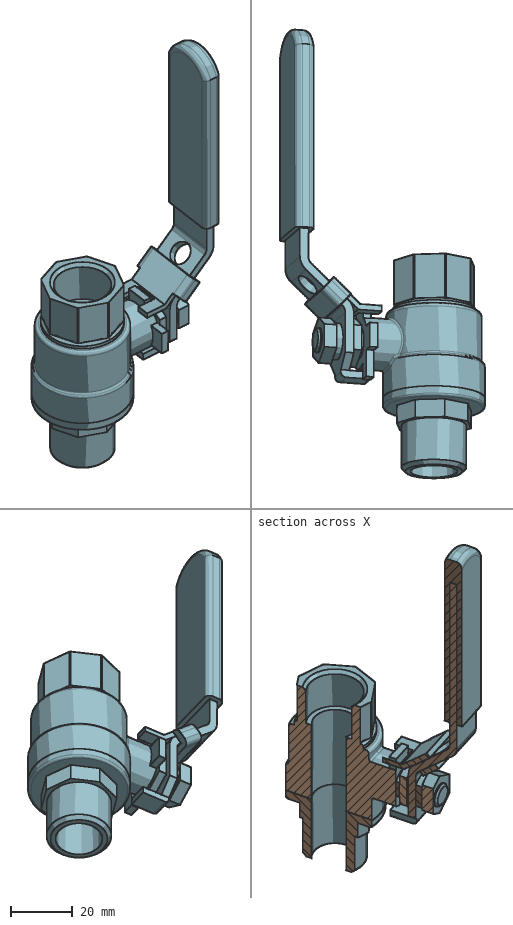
import cadquery as cq
import math

BORE_DIA = 15.0
STEM_Z = 40.9
STEM_DIA = 8.0

MALE_DIA = 21.0
MALE_CHAMFER = 1.3
MALE_TOP = 15.2
LOWER_OCTAGON_DIA = 25.0
OCTAGON_SIDES = 8
FLANGE_BOTTOM = 21.1
FLANGE_TOP = 24.3
FLANGE_FILLET = 0.9

LARGE_DIA = 33.0
STEP_BOTTOM = 34.7
STEP_TOP = 36.3
MAIN_DIA = 31.0
MAIN_TOP = 52.5
MAIN_FILLET = 1.3
COLLAR_DIA = 27.0
COLLAR_TOP = 53.7
UPPER_OCTAGON_BOTTOM = 54.7
UPPER_OCTAGON_FLATS = 25.0
UPPER_OCTAGON_CORNERS = 26.8
HOUSING_TOP = 69.3
THREAD_DIA = 18.7
THREAD_DEPTH = 14.4
THREAD_MOUTH_DIA = 21.0
MOUTH_SLOPE = 45.0

NECK_DIA = 17.0
NECK_FILLET = 0.7
NECK_END = 25.0
STOP_THICKNESS = 2.6
STOP_ARM_WIDTH = 8.0
LEFT_ARM_REACH = 11.8
RIGHT_ARM_REACH = 13.0
TONGUE_REACH = 12.0
LUG_REACH = 12.9
LUG_OUTER_X = 7.6

STEM_SOCKET_DEPTH = 7.2
STEM_TIP = 39.9
STEM_TIP_CHAMFER = 0.7
SHOULDER_DIA = 10.0
GLAND_NUT_START = 26.3
GLAND_NUT_END = 29.0
GLAND_NUT_DIA = 16.4
WASHER_DIA = 11.9
TOP_NUT_START = 34.6
TOP_NUT_END = 38.7
TOP_NUT_DIA = 15.2
NUT_SIDES = 6

LEVER_WIDTH = 17.0
LEVER_THICKNESS = 2.9
LEVER_TOP = 133.5
LEVER_BEND_RADIUS = 4.3
LEVER_ANGLE = 42.0
UPPER_Y = 46.0
LOWER_Y = 30.9
UPPER_BEND_Z = 64.3
TAB_WIDTH = 6.9
TAB_THICKNESS = 2.5
TAB_BOTTOM = 28.3
TAB_FILLET = 1.7
TAPER_TOP = 35.3
PADLOCK_HOLE_DIA = 7.7
PADLOCK_HOLE_ALONG = 6.2

SLIDE_WALL = 1.9
SLIDE_WIDTH = 21.8
SLIDE_FILLET = 2.2
SLIDE_START = 10.2
SLIDE_LENGTH = 7.7
PRONG_Z = 50.8
PRONG_END = 20.0
NOTCH_END = 26.5

GRIP_WIDTH = 20.2
GRIP_THICKNESS = 6.5
GRIP_BOTTOM = 75.6
GRIP_SHOULDER = 136.6
GRIP_TOP = 143.5
GRIP_FILLET = 2.0

SLOPE = math.radians(LEVER_ANGLE)
LOWER_BEND_Z = UPPER_BEND_Z - (UPPER_Y - LOWER_Y) * math.tan(SLOPE)
TAB_TOP = TAB_BOTTOM + TAB_THICKNESS
LEVER_INNER_Y = LOWER_Y - LEVER_THICKNESS / 2
LEVER_OUTER_Y = LOWER_Y + LEVER_THICKNESS / 2
STOP_START = NECK_END - STOP_THICKNESS
STEM_BOTTOM = NECK_END - STEM_SOCKET_DEPTH


def cylinder_z(diameter, z0, z1):
    return cq.Workplane("XY").workplane(offset=z0).circle(diameter / 2).extrude(z1 - z0)


def octagon_z(across_corners, z0, z1):
    """Octagonal prism along Z with corners on the X and Y axes."""
    return cq.Workplane("XY").workplane(offset=z0).polygon(OCTAGON_SIDES, across_corners).extrude(z1 - z0)


def stem_plane(y):
    """Plane across the stem axis at the given Y: local x is +Z, normal is +Y."""
    return cq.Workplane(cq.Plane(origin=(0, y, STEM_Z), xDir=(0, 0, 1), normal=(0, 1, 0)))


def stem_cylinder(diameter, y0, y1):
    return stem_plane(y0).circle(diameter / 2).extrude(y1 - y0)


def box(x0, x1, y0, y1, z0, z1):
    return cq.Workplane("XY").box(x1 - x0, y1 - y0, z1 - z0, centered=False).translate((x0, y0, z0))


def slope_point(along, above=0.0):
    """Y and Z of a point measured from the upper bend, down the slope and square to it."""
    y = UPPER_Y - along * math.cos(SLOPE) - above * math.sin(SLOPE)
    z = UPPER_BEND_Z - along * math.sin(SLOPE) + above * math.cos(SLOPE)
    return y, z


def bent_strip(points, width, thickness, bend_radius=0):
    """Flat strip along mid-thickness (Y, Z) points, with sharp bends when the radius is 0."""
    path = cq.Wire.makePolygon([cq.Vector(0, y, z) for y, z in points])
    if bend_radius > 0:
        path = path.fillet(bend_radius)
    (y0, z0), (y1, z1) = points[0], points[1]
    start = cq.Plane(origin=(0, y0, z0), xDir=(1, 0, 0), normal=(0, y1 - y0, z1 - z0))
    return cq.Workplane(start).rect(width, thickness).sweep(cq.Workplane(path), transition="right")


def build_connector():
    male = cylinder_z(MALE_DIA, 0, MALE_TOP).faces("<Z").chamfer(MALE_CHAMFER)
    octagon = octagon_z(LOWER_OCTAGON_DIA, MALE_TOP, FLANGE_BOTTOM)
    flange = cylinder_z(LARGE_DIA, FLANGE_BOTTOM, FLANGE_TOP).faces("<Z").edges().fillet(FLANGE_FILLET)
    bore = cylinder_z(BORE_DIA, 0, FLANGE_TOP)
    return male.union(octagon).union(flange).cut(bore)


def housing_shell():
    """Turned outside of the housing, with an S-shaped step between its two diameters."""
    large = LARGE_DIA / 2
    main = MAIN_DIA / 2
    collar = COLLAR_DIA / 2
    step_middle = ((large + main) / 2, (STEP_BOTTOM + STEP_TOP) / 2)
    return (
        cq.Workplane("XZ")
        .moveTo(0, FLANGE_TOP)
        .lineTo(large, FLANGE_TOP)
        .lineTo(large, STEP_BOTTOM)
        .tangentArcPoint(step_middle, relative=False)
        .tangentArcPoint((main, STEP_TOP), relative=False)
        .lineTo(main, MAIN_TOP - MAIN_FILLET)
        .radiusArc((main - MAIN_FILLET, MAIN_TOP), -MAIN_FILLET)
        .lineTo(collar, MAIN_TOP)
        .lineTo(collar, COLLAR_TOP)
        .lineTo(UPPER_OCTAGON_FLATS / 2, UPPER_OCTAGON_BOTTOM)
        .lineTo(0, UPPER_OCTAGON_BOTTOM)
        .close()
        .revolve(360, (0, 0), (0, 1))
    )


def upper_octagon():
    sharp_corners = UPPER_OCTAGON_FLATS / math.cos(math.pi / OCTAGON_SIDES)
    octagon = octagon_z(sharp_corners, UPPER_OCTAGON_BOTTOM, HOUSING_TOP)
    return octagon.intersect(cylinder_z(UPPER_OCTAGON_CORNERS, UPPER_OCTAGON_BOTTOM, HOUSING_TOP))


def stop_plate():
    """Arms around the neck end that guide the locking slide and limit the lever's turn."""
    half_arm = STOP_ARM_WIDTH / 2
    depth = (STOP_START, NECK_END)
    arms = box(-LEFT_ARM_REACH, RIGHT_ARM_REACH, *depth, STEM_Z - half_arm, STEM_Z + half_arm)
    tongue = box(-half_arm, half_arm, *depth, STEM_Z, STEM_Z + TONGUE_REACH)
    lug = box(-LUG_OUTER_X, -TAB_WIDTH / 2, *depth, STEM_Z - LUG_REACH, STEM_Z)
    return arms.union(tongue).union(lug)


def housing_bores():
    bore = cylinder_z(BORE_DIA, FLANGE_TOP, HOUSING_TOP)
    thread = cylinder_z(THREAD_DIA, HOUSING_TOP - THREAD_DEPTH, HOUSING_TOP)
    mouth_depth = (THREAD_MOUTH_DIA - THREAD_DIA) / 2
    mouth = cq.Workplane("XY", origin=(0, 0, HOUSING_TOP)).circle(THREAD_MOUTH_DIA / 2)
    mouth = mouth.extrude(-mouth_depth, taper=MOUTH_SLOPE)
    socket = stem_cylinder(STEM_DIA, STEM_BOTTOM, NECK_END)
    return bore.union(thread).union(mouth).union(socket)


def neck_root():
    """Selector for the edges where the neck meets the turned shell."""
    reach = NECK_DIA / 2 + NECK_FILLET
    return cq.selectors.BoxSelector((-reach, 0, STEM_Z - reach), (reach, LARGE_DIA / 2, STEM_Z + reach))


def build_housing():
    shell = housing_shell().union(stem_cylinder(NECK_DIA, 0, NECK_END))
    shell = shell.edges(neck_root()).fillet(NECK_FILLET)
    return shell.union(upper_octagon()).union(stop_plate()).cut(housing_bores())


def build_stem():
    shank = stem_cylinder(STEM_DIA, STEM_BOTTOM, STEM_TIP).faces(">Y").chamfer(STEM_TIP_CHAMFER)
    return shank.union(stem_cylinder(SHOULDER_DIA, NECK_END, GLAND_NUT_START))


def hex_nut(across_corners, y0, y1):
    """Hexagon nut on the stem with two corners straight above and below the axis."""
    nut = stem_plane(y0).polygon(NUT_SIDES, across_corners).extrude(y1 - y0)
    return nut.cut(stem_cylinder(STEM_DIA, y0, y1))


def build_washer():
    ring = stem_cylinder(WASHER_DIA, LEVER_OUTER_Y, TOP_NUT_START)
    return ring.cut(stem_cylinder(STEM_DIA, LEVER_OUTER_Y, TOP_NUT_START))


def lever_taper():
    """Wedges removed where the lever narrows to its stop tab."""
    half = LEVER_WIDTH / 2
    half_tab = TAB_WIDTH / 2
    outline = [(half_tab, TAB_BOTTOM), (half, TAB_BOTTOM), (half, TAPER_TOP), (half_tab, TAB_TOP)]
    wedge = (
        cq.Workplane("XZ", origin=(0, LEVER_OUTER_Y, 0))
        .polyline(outline)
        .close()
        .extrude(LEVER_THICKNESS)
    )
    return wedge.union(wedge.mirror("YZ"))


def build_lever():
    centreline = [
        (UPPER_Y, LEVER_TOP),
        (UPPER_Y, UPPER_BEND_Z),
        (LOWER_Y, LOWER_BEND_Z),
        (LOWER_Y, TAB_BOTTOM),
    ]
    strip = bent_strip(centreline, LEVER_WIDTH, LEVER_THICKNESS, LEVER_BEND_RADIUS)
    tab = box(-TAB_WIDTH / 2, TAB_WIDTH / 2, STOP_START, LEVER_OUTER_Y, TAB_BOTTOM, TAB_TOP)
    lever = strip.cut(lever_taper()).union(tab).faces("<Z").edges(">Y").fillet(TAB_FILLET)
    y, z = slope_point(PADLOCK_HOLE_ALONG)
    hole_plane = cq.Plane(origin=(0, y, z), xDir=(1, 0, 0), normal=(0, -math.sin(SLOPE), math.cos(SLOPE)))
    hole = cq.Workplane(hole_plane).circle(PADLOCK_HOLE_DIA / 2).extrude(LEVER_THICKNESS, both=True)
    return lever.cut(hole).cut(stem_cylinder(STEM_DIA, LEVER_INNER_Y, LEVER_OUTER_Y))


def slide_sleeve():
    """Closed sleeve around the inclined part of the lever."""
    y, z = slope_point(SLIDE_START)
    plane = cq.Plane(origin=(0, y, z), xDir=(1, 0, 0), normal=(0, -math.cos(SLOPE), -math.sin(SLOPE)))
    height = LEVER_THICKNESS + 2 * SLIDE_WALL
    outside = cq.Workplane(plane).rect(SLIDE_WIDTH, height).extrude(SLIDE_LENGTH)
    outside = outside.edges(cq.selectors.ParallelDirSelector(plane.zDir)).fillet(SLIDE_FILLET)
    return outside.cut(cq.Workplane(plane).rect(LEVER_WIDTH, LEVER_THICKNESS).extrude(SLIDE_LENGTH))


def slide_prongs():
    """Sheet that leaves the sleeve, bends level and ends in two prongs beside the stop tongue."""
    above = (LEVER_THICKNESS + SLIDE_WALL) / 2
    start = slope_point(SLIDE_START + SLIDE_LENGTH / 2, above)
    bend_y = start[0] - (start[1] - PRONG_Z) / math.tan(SLOPE)
    centreline = [start, (bend_y, PRONG_Z), (PRONG_END, PRONG_Z)]
    sheet = bent_strip(centreline, LEVER_WIDTH, SLIDE_WALL)
    half_notch = STOP_ARM_WIDTH / 2
    notch = box(-half_notch, half_notch, PRONG_END, NOTCH_END, PRONG_Z - SLIDE_WALL, PRONG_Z + SLIDE_WALL)
    return sheet.cut(notch)


def build_slide():
    return slide_sleeve().union(slide_prongs())


def build_grip():
    half = GRIP_WIDTH / 2
    back = UPPER_Y + GRIP_THICKNESS / 2
    grip = (
        cq.Workplane("XZ", origin=(0, back, 0))
        .moveTo(-half, GRIP_BOTTOM)
        .lineTo(half, GRIP_BOTTOM)
        .lineTo(half, GRIP_SHOULDER)
        .threePointArc((0, GRIP_TOP), (-half, GRIP_SHOULDER))
        .close()
        .extrude(GRIP_THICKNESS)
        .edges("<Y or >Y")
        .edges("not <Z")
        .fillet(GRIP_FILLET)
    )
    half_lever = LEVER_THICKNESS / 2
    pocket = box(
        -LEVER_WIDTH / 2, LEVER_WIDTH / 2, UPPER_Y - half_lever, UPPER_Y + half_lever, GRIP_BOTTOM, LEVER_TOP
    )
    return grip.cut(pocket)


housing = build_housing()
connector = build_connector()
stem = build_stem()
gland_nut = hex_nut(GLAND_NUT_DIA, GLAND_NUT_START, GLAND_NUT_END)
lever = build_lever()
washer = build_washer()
top_nut = hex_nut(TOP_NUT_DIA, TOP_NUT_START, TOP_NUT_END)
slide = build_slide()
grip = build_grip()

bodies = [housing, connector, stem, gland_nut, lever, washer, top_nut, slide, grip]
result = cq.Compound.makeCompound([solid for body in bodies for solid in body.solids().vals()])